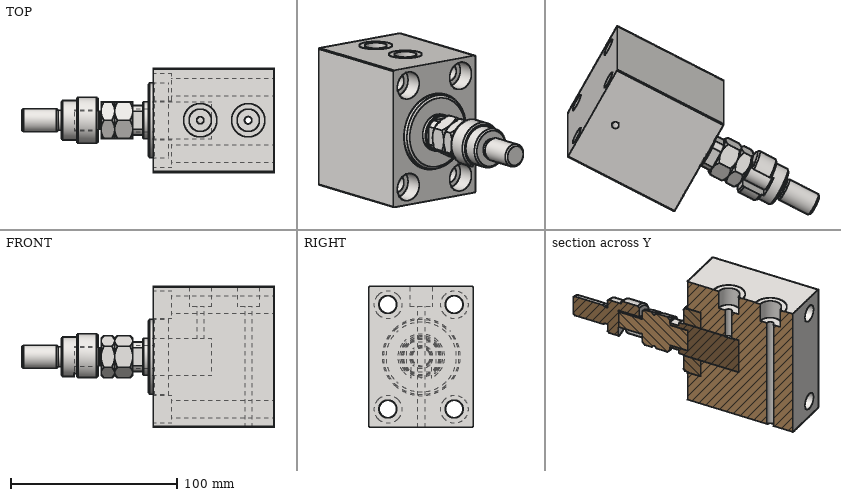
import cadquery as cq
import math


TOTAL_LENGTH = 152.0
BLOCK_LENGTH = 73.0
BLOCK_WIDTH = 63.0
BLOCK_HEIGHT = 85.0
BLOCK_EDGE_CHAMFER = 0.6
BLOCK_FRONT = TOTAL_LENGTH - BLOCK_LENGTH

BOLT_SPACING_Y = 40.0
BOLT_SPACING_Z = 63.0
BOLT_HOLE_DIAMETER = 10.5
BOLT_HEAD_DIAMETER = 16.7
BOLT_HEAD_DEPTH = 11.0

FRONT_PORT_X = 107.5
REAR_PORT_X = 136.3
PORT_DIAMETER = 13.5
PORT_DEPTH = 12.2
PORT_SEAT_DIAMETER = 20.0
PORT_SEAT_DEPTH = 0.2
DRILL_DIAMETER = 4.3

GLAND_RADIUS = 22.6
GLAND_PROTRUSION = 2.9
GLAND_INSERTION = 9.1
GLAND_CHAMFER_LENGTH = 0.9
GLAND_CHAMFER_HEIGHT = 1.5
GLAND_BORE_CHAMFER = 0.8
GLAND_FRONT = BLOCK_FRONT - GLAND_PROTRUSION
GLAND_BACK = BLOCK_FRONT + GLAND_INSERTION

ROD_RADIUS = 11.2
ROD_FRONT = 73.0
ROD_CHAMFER = 0.6
ROD_BACK = FRONT_PORT_X + PORT_DIAMETER / 2
WRENCH_FLATS = 18.0
WRENCH_CORNER_RADIUS = 10.5
WRENCH_FRONT = 66.9

HEX_FLATS = 22.0
HEX_FRONT = 47.7
HEX_JOINT = 56.0
PIN_RADIUS = 5.6
PIN_GROOVE_DEPTH = 0.3
SHANK_RADIUS = 7.0
SHANK_END = 79.0

STUD_RADIUS = 7.0
STUD_CHAMFER = 1.0
STUD_END = 20.8
STUD_NECK_RADIUS = 6.1
COLLAR_FRONT = 23.7
COLLAR_RADIUS = 12.0
HEAD_FRONT = 33.0
HEAD_BACK = 45.9
HEAD_RADIUS = 14.0
COUPLING_CHAMFER = 1.0
SLOT_FRONT = 31.5
SLOT_WIDTH = 12.5


def cylinder(start, end, radius):
    return cq.Workplane("YZ", origin=(start, 0, 0)).circle(radius).extrude(end - start)


def turned(profile):
    """Revolve a closed outline of (x, radius) points about the X axis."""
    return cq.Workplane("XY").polyline(profile).close().revolve(360, (0, 0, 0), (1, 0, 0))


def vertical_hole(x, bottom, top, diameter):
    return cq.Workplane("XY", origin=(x, 0, bottom)).circle(diameter / 2).extrude(top - bottom)


def make_block():
    top = BLOCK_HEIGHT / 2
    block = (
        cq.Workplane("XY")
        .box(BLOCK_LENGTH, BLOCK_WIDTH, BLOCK_HEIGHT)
        .translate((BLOCK_FRONT + BLOCK_LENGTH / 2, 0, 0))
        .edges("|X")
        .chamfer(BLOCK_EDGE_CHAMFER)
    )
    block = (
        block.faces("<X")
        .workplane(centerOption="CenterOfBoundBox")
        .rarray(BOLT_SPACING_Y, BOLT_SPACING_Z, 2, 2)
        .cboreHole(BOLT_HOLE_DIAMETER, BOLT_HEAD_DIAMETER, BOLT_HEAD_DEPTH)
    )
    mouth_radius = GLAND_RADIUS + GLAND_BORE_CHAMFER
    seat = turned([
        (BLOCK_FRONT, 0),
        (BLOCK_FRONT, mouth_radius),
        (BLOCK_FRONT + GLAND_BORE_CHAMFER, GLAND_RADIUS),
        (GLAND_BACK, GLAND_RADIUS),
        (GLAND_BACK, ROD_RADIUS),
        (ROD_BACK, ROD_RADIUS),
        (ROD_BACK, 0),
    ])
    block = block.cut(seat)
    for x, drill_bottom in ((FRONT_PORT_X, 0), (REAR_PORT_X, -top)):
        block = block.cut(vertical_hole(x, top - PORT_SEAT_DEPTH, top, PORT_SEAT_DIAMETER))
        block = block.cut(vertical_hole(x, top - PORT_DEPTH, top, PORT_DIAMETER))
        block = block.cut(vertical_hole(x, drill_bottom, top, DRILL_DIAMETER))
    return block


def make_gland():
    return turned([
        (GLAND_FRONT, ROD_RADIUS),
        (GLAND_FRONT, GLAND_RADIUS - GLAND_CHAMFER_HEIGHT),
        (GLAND_FRONT + GLAND_CHAMFER_LENGTH, GLAND_RADIUS),
        (GLAND_BACK, GLAND_RADIUS),
        (GLAND_BACK, ROD_RADIUS),
    ])


def make_rod():
    rod = cylinder(ROD_FRONT, ROD_BACK, ROD_RADIUS).faces("<X").chamfer(ROD_CHAMFER)
    wrench_length = ROD_FRONT - WRENCH_FRONT
    square = (
        cq.Workplane("YZ", origin=(WRENCH_FRONT, 0, 0))
        .rect(WRENCH_FLATS, WRENCH_FLATS)
        .extrude(wrench_length)
    )
    wrench = cylinder(WRENCH_FRONT, ROD_FRONT, WRENCH_CORNER_RADIUS).intersect(square)
    return rod.union(wrench).cut(cylinder(WRENCH_FRONT, SHANK_END, SHANK_RADIUS))


def chamfered_hexagon(start, end):
    """Hexagon with corners on +Z and -Z, its corners bevelled at 45 degrees on both ends."""
    flat_radius = HEX_FLATS / 2
    corner_radius = flat_radius / math.cos(math.pi / 6)
    bevel = corner_radius - flat_radius
    hexagon = (
        cq.Workplane("YZ", origin=(start, 0, 0))
        .transformed(rotate=(0, 0, 90))
        .polygon(6, 2 * corner_radius)
        .extrude(end - start)
    )
    envelope = turned([
        (start, 0),
        (start, flat_radius),
        (start + bevel, corner_radius),
        (end - bevel, corner_radius),
        (end, flat_radius),
        (end, 0),
    ])
    return hexagon.intersect(envelope)


def make_link_pin():
    groove_x = (HEAD_BACK + HEX_FRONT) / 2
    pin = turned([
        (SLOT_FRONT, 0),
        (SLOT_FRONT, PIN_RADIUS),
        (HEAD_BACK, PIN_RADIUS),
        (groove_x, PIN_RADIUS - PIN_GROOVE_DEPTH),
        (HEX_FRONT, PIN_RADIUS),
        (HEX_FRONT, SHANK_RADIUS),
        (SHANK_END, SHANK_RADIUS),
        (SHANK_END, 0),
    ])
    pin = pin.union(chamfered_hexagon(HEX_FRONT, HEX_JOINT))
    return pin.union(chamfered_hexagon(HEX_JOINT, WRENCH_FRONT))


def make_coupling():
    body = turned([
        (0, 0),
        (0, STUD_RADIUS - STUD_CHAMFER),
        (STUD_CHAMFER, STUD_RADIUS),
        (STUD_END, STUD_RADIUS),
        (STUD_END + STUD_CHAMFER, STUD_NECK_RADIUS),
        (COLLAR_FRONT, STUD_NECK_RADIUS),
        (COLLAR_FRONT, COLLAR_RADIUS - COUPLING_CHAMFER),
        (COLLAR_FRONT + COUPLING_CHAMFER, COLLAR_RADIUS),
        (HEAD_FRONT, COLLAR_RADIUS),
        (HEAD_FRONT, HEAD_RADIUS - COUPLING_CHAMFER),
        (HEAD_FRONT + COUPLING_CHAMFER, HEAD_RADIUS),
        (HEAD_BACK - COUPLING_CHAMFER, HEAD_RADIUS),
        (HEAD_BACK, HEAD_RADIUS - COUPLING_CHAMFER),
        (HEAD_BACK, 0),
    ])
    half_width = SLOT_WIDTH / 2
    slot = (
        cq.Workplane("YZ", origin=(SLOT_FRONT, 0, 0))
        .moveTo(-half_width, -HEAD_RADIUS)
        .lineTo(-half_width, 0)
        .threePointArc((0, half_width), (half_width, 0))
        .lineTo(half_width, -HEAD_RADIUS)
        .close()
        .extrude(HEAD_BACK - SLOT_FRONT)
    )
    return body.cut(slot)


block = make_block()
gland = make_gland()
rod = make_rod()
link_pin = make_link_pin()
coupling = make_coupling()

result = cq.Compound.makeCompound([
    block.solids().val(),
    gland.solids().val(),
    rod.solids().val(),
    link_pin.solids().val(),
    coupling.solids().val(),
])